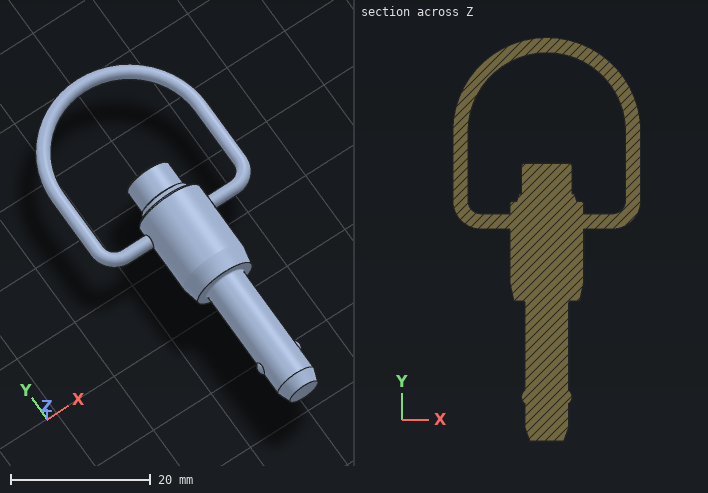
import cadquery as cq
import math


shank_diameter = 6.35
shank_length = 20.1
tip_length = 2.0
tip_angle = 20.0
root_fillet = 0.3

ball_diameter = 2.5
ball_span = 7.3
ball_distance = 13.75

body_diameter = 10.67
body_length = 14.3
body_taper_length = 2.8
body_taper_angle = 12.0
body_chamfer = 0.3

collar_top_diameter = 7.9
collar_height = 1.1
collar_angle = 20.0
button_diameter = 7.3
button_length = 4.35
button_chamfer = 0.25

handle_width = 27.0
handle_top = 37.79
wire_diameter = 2.25
wire_height = 11.4
bend_radius = 3.0


def revolve_about_y(outline):
    """Turn a half outline, closed on the Y axis, into a full solid."""
    return outline.close().revolve(360, (0, 0, 0), (0, 1, 0))


def make_shank():
    radius = shank_diameter / 2
    tip_radius = radius - tip_length * math.tan(math.radians(tip_angle))
    return revolve_about_y(
        cq.Workplane("XY")
        .moveTo(0, -shank_length)
        .lineTo(tip_radius, -shank_length)
        .lineTo(radius, tip_length - shank_length)
        .lineTo(radius, -root_fillet)
        .radiusArc((radius + root_fillet, 0), root_fillet)
        .lineTo(radius, body_taper_length)
        .lineTo(0, body_taper_length)
    )


def make_body():
    radius = body_diameter / 2
    shoulder_radius = radius - body_taper_length * math.tan(math.radians(body_taper_angle))
    collar_top_radius = collar_top_diameter / 2
    collar_base_radius = collar_top_radius + collar_height * math.tan(math.radians(collar_angle))
    button_radius = button_diameter / 2
    collar_top = body_length + collar_height
    button_top = collar_top + button_length
    return revolve_about_y(
        cq.Workplane("XY")
        .lineTo(shoulder_radius, 0)
        .lineTo(radius, body_taper_length)
        .lineTo(radius, body_length - body_chamfer)
        .lineTo(radius - body_chamfer, body_length)
        .lineTo(collar_base_radius, body_length)
        .lineTo(collar_top_radius, collar_top)
        .lineTo(button_radius, collar_top)
        .lineTo(button_radius, button_top - button_chamfer)
        .lineTo(button_radius - button_chamfer, button_top)
        .lineTo(0, button_top)
    )


def make_ball(side):
    center_x = side * (ball_span - ball_diameter) / 2
    return cq.Workplane("XY").sphere(ball_diameter / 2).translate((center_x, -ball_distance, 0))


def make_handle():
    """Round wire loop that runs through the body and arches over the button."""
    arch_radius = (handle_width - wire_diameter) / 2
    arch_center = handle_top - handle_width / 2
    bend_start = arch_radius - bend_radius
    bend_end = wire_height + bend_radius
    path = (
        cq.Workplane("XY")
        .moveTo(0, wire_height)
        .lineTo(bend_start, wire_height)
        .radiusArc((arch_radius, bend_end), -bend_radius)
        .lineTo(arch_radius, arch_center)
        .threePointArc((0, arch_center + arch_radius), (-arch_radius, arch_center))
        .lineTo(-arch_radius, bend_end)
        .radiusArc((-bend_start, wire_height), -bend_radius)
        .lineTo(0, wire_height)
    )
    section = cq.Workplane("YZ").center(wire_height, 0).circle(wire_diameter / 2)
    return section.sweep(path)


result = make_body().union(make_shank()).union(make_handle())
for side in (-1, 1):
    result = result.union(make_ball(side))